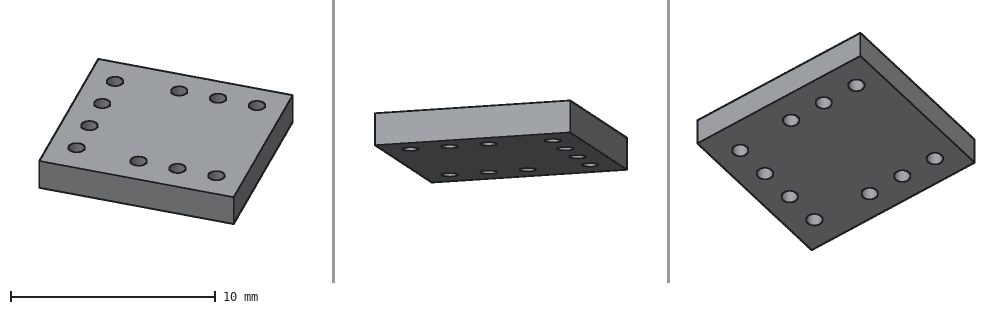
import cadquery as cq

length = 10.0
width = 9.25
thickness = 1.6

hole_diameter = 0.8
hole_pitch = 2.0
outer_hole_x = 3.62
column_count = 4
column_center_y = 0.03
row_count = 3
row_center_x = outer_hole_x - hole_pitch * (row_count - 1) / 2
row_spacing = 6.35
rows_center_y = 0.05


def centered_positions(count, pitch, center):
    """Evenly spaced coordinates, symmetric about center."""
    return [center + (i - (count - 1) / 2) * pitch for i in range(count)]


column_y = centered_positions(column_count, hole_pitch, column_center_y)
column_points = [(-outer_hole_x, y) for y in column_y]

row_x = centered_positions(row_count, hole_pitch, row_center_x)
row_y = centered_positions(2, row_spacing, rows_center_y)
row_points = [(x, y) for y in row_y for x in row_x]

plate = cq.Workplane("XY").box(length, width, thickness)
top_plane = plate.faces(">Z").workplane(origin=(0, 0, 0))
result = top_plane.pushPoints(column_points + row_points).hole(hole_diameter)